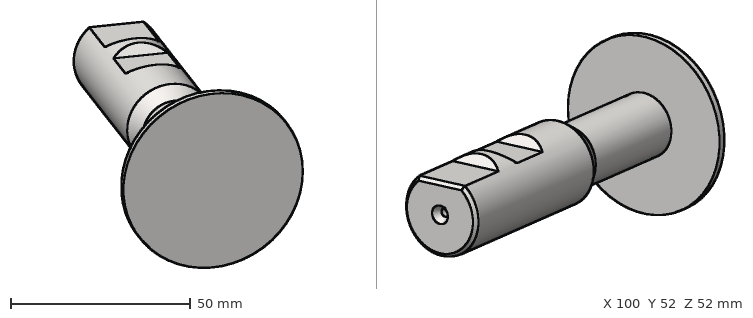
import cadquery as cq
import math

overall_length = 100.0
disc_diameter = 52.0
disc_thickness = 2.4

shank_radius = 12.5
neck_radius = 9.5
shank_length = 56.2
taper_angle = 30.0
end_chamfer = 1.1
lead_in_end = 2.0
lead_in_drop = 0.1

flat_height = 9.7
end_flat_length = 17.0
middle_flat_start = 26.0
middle_flat_end = 38.1

countersink_diameter = 5.4
countersink_half_angle = 30.0
pilot_diameter = 2.5
pilot_depth = 5.5
drill_tip_half_angle = 60.0

countersink_radius = countersink_diameter / 2
pilot_radius = pilot_diameter / 2
lead_in_radius = shank_radius - lead_in_drop
neck_length = overall_length - disc_thickness
taper_end = shank_length + (shank_radius - neck_radius) / math.tan(math.radians(taper_angle))
flat_depth = shank_radius - flat_height
countersink_depth = (countersink_radius - pilot_radius) / math.tan(math.radians(countersink_half_angle))
drill_tip_depth = pilot_depth + pilot_radius / math.tan(math.radians(drill_tip_half_angle))


def revolve_about_x(outline):
    """Turn a closed (x, radius) outline around the X axis."""
    return cq.Workplane("XZ").polyline(outline).close().revolve(360, (0, 0, 0), (1, 0, 0))


def make_flat_cutter(outline):
    """Extrude an (x, z) outline across the full width of the shank."""
    return cq.Workplane("XZ").polyline(outline).close().extrude(shank_radius, both=True)


def make_blank():
    """Turned shank with a chamfered end, a slight lead-in taper behind it and a tapered neck."""
    return revolve_about_x([
        (0, 0),
        (0, lead_in_radius - end_chamfer),
        (end_chamfer, lead_in_radius),
        (lead_in_end, shank_radius),
        (shank_length, shank_radius),
        (taper_end, neck_radius),
        (neck_length, neck_radius),
        (neck_length, 0),
    ])


def make_end_flat():
    """Flat that opens onto the shank end and leaves a chamfer along its edge."""
    return make_flat_cutter([
        (0, flat_height - end_chamfer),
        (end_chamfer, flat_height),
        (end_flat_length, flat_height),
        (end_flat_length + flat_depth, shank_radius),
        (0, shank_radius),
    ])


def make_middle_flat():
    """Flat with a sloped run-out at both ends."""
    return make_flat_cutter([
        (middle_flat_start, flat_height),
        (middle_flat_end, flat_height),
        (middle_flat_end + flat_depth, shank_radius),
        (middle_flat_start - flat_depth, shank_radius),
    ])


def make_centre_hole():
    """Countersunk pilot hole with a conical drill tip."""
    return revolve_about_x([
        (0, 0),
        (0, countersink_radius),
        (countersink_depth, pilot_radius),
        (pilot_depth, pilot_radius),
        (drill_tip_depth, 0),
    ])


def make_shank():
    return make_blank().cut(make_end_flat()).cut(make_middle_flat()).cut(make_centre_hole())


def make_disc():
    """Plain disc that butts against the end of the neck."""
    return cq.Workplane("YZ", origin=(neck_length, 0, 0)).circle(disc_diameter / 2).extrude(disc_thickness)


shank = make_shank()
disc = make_disc()

result = cq.Compound.makeCompound([shank.val(), disc.val()])